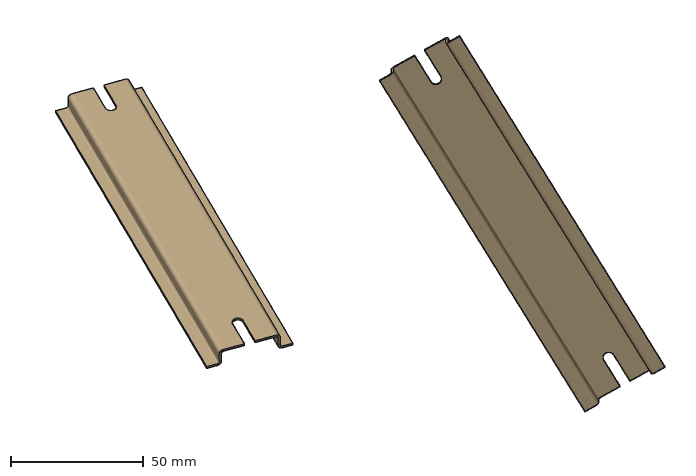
import cadquery as cq

length = 153.0
width = 35.0
height = 7.5
thickness = 1.0
hat_width = 25.0
inner_bend_radius = 0.8
outer_bend_radius = inner_bend_radius + thickness

slot_width = 4.3
slot_depth = 14.2


def make_rail():
    """Sweep the bent-sheet profile: raised web, two walls and two outward flanges."""
    top = height / 2
    bottom = -height / 2
    flange_edge = width / 2
    wall_outside = hat_width / 2
    wall_inside = wall_outside - thickness
    upper_bend_z = top - outer_bend_radius
    lower_bend_z = bottom + outer_bend_radius
    upper_bend_y = wall_outside - outer_bend_radius
    lower_bend_y = wall_inside + outer_bend_radius

    half_profile = (
        cq.Workplane("YZ")
        .moveTo(0, top)
        .lineTo(upper_bend_y, top)
        .radiusArc((wall_outside, upper_bend_z), outer_bend_radius)
        .lineTo(wall_outside, lower_bend_z)
        .radiusArc((lower_bend_y, bottom + thickness), -inner_bend_radius)
        .lineTo(flange_edge, bottom + thickness)
        .lineTo(flange_edge, bottom)
        .lineTo(lower_bend_y, bottom)
        .radiusArc((wall_inside, lower_bend_z), outer_bend_radius)
        .lineTo(wall_inside, upper_bend_z)
        .radiusArc((upper_bend_y, top - thickness), -inner_bend_radius)
        .lineTo(0, top - thickness)
        .close()
    )
    half_rail = half_profile.extrude(length / 2, both=True)
    return half_rail.union(half_rail.mirror("XZ")).clean()


def make_end_slot(side):
    """Cutter for the slot at one end: side is -1 for the -X end, +1 for the +X end."""
    slot_centre_x = side * length / 2
    return (
        cq.Workplane("XY")
        .center(slot_centre_x, 0)
        .slot2D(2 * slot_depth, slot_width)
        .extrude(height, both=True)
    )


result = make_rail()
for end_side in (-1, 1):
    result = result.cut(make_end_slot(end_side))